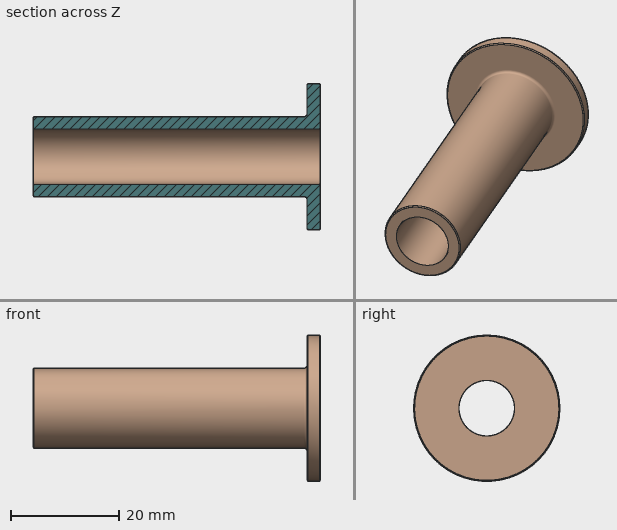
import cadquery as cq

overall_length = 53.0
flange_diameter = 27.0
flange_thickness = 2.5
tube_diameter = 14.8
bore_diameter = 10.2
root_fillet_radius = 0.5
edge_break = 0.2

flange_radius = flange_diameter / 2
tube_radius = tube_diameter / 2
bore_radius = bore_diameter / 2

tube_end_x = -overall_length / 2
flange_outer_x = overall_length / 2
flange_inner_x = flange_outer_x - flange_thickness


def make_bushing():
    """Tube, flange and through bore as one half section turned about the X axis.

    The tube's free end and both flange rims are chamfered, and an arc rounds the
    inside corner between the tube and the flange.
    """
    return (
        cq.Workplane("XZ")
        .moveTo(tube_end_x, bore_radius)
        .lineTo(tube_end_x, tube_radius - edge_break)
        .lineTo(tube_end_x + edge_break, tube_radius)
        .lineTo(flange_inner_x - root_fillet_radius, tube_radius)
        .radiusArc((flange_inner_x, tube_radius + root_fillet_radius), -root_fillet_radius)
        .lineTo(flange_inner_x, flange_radius - edge_break)
        .lineTo(flange_inner_x + edge_break, flange_radius)
        .lineTo(flange_outer_x - edge_break, flange_radius)
        .lineTo(flange_outer_x, flange_radius - edge_break)
        .lineTo(flange_outer_x, bore_radius)
        .close()
        .revolve(360, (0, 0, 0), (1, 0, 0))
    )


result = make_bushing()